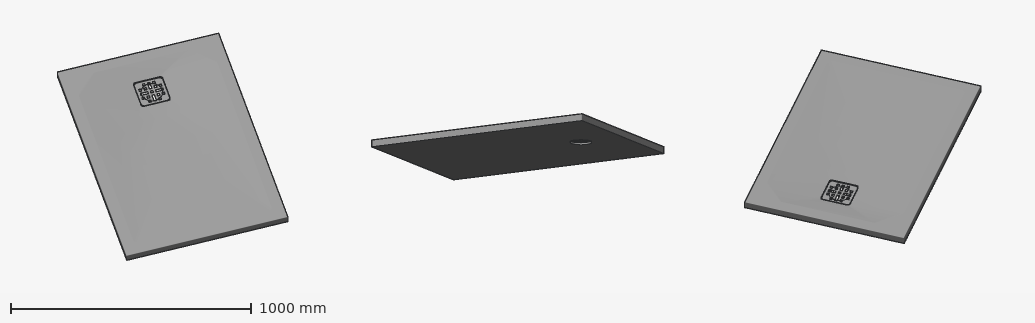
import cadquery as cq

LENGTH = 1000.0
WIDTH = 700.0
HEIGHT = 30.0
EDGE_RADIUS = 2.0
RIM_WIDTH = 50.0
DRAIN_END_RADIUS = 100.0
FAR_END_RADIUS = 15.0

GUIDES_PER_EDGE = 4
STEPS_PER_GUIDE = 3

DRAIN_X = -300.0
RECESS_SIDE = 126.0
RECESS_RADIUS = 10.0
RECESS_TOP_Z = 15.0
DRAIN_DIAMETER = 90.0
FUNNEL_DIAMETER = 120.0
FUNNEL_DEPTH = 2.0

GRATE_GAP = 1.0
GRATE_SIDE = RECESS_SIDE - 2 * GRATE_GAP
GRATE_RADIUS = 15.0
GRATE_THICKNESS = 2.0
GRATE_TOP_Z = 13.0
SLOT_WIDTH = 10.0
SLOT_PITCH = 22.0

RECESS_FLOOR_Z = GRATE_TOP_Z - GRATE_THICKNESS


def rounded_outline(x_min, x_max, half_width, left_radius, right_radius, z):
    """Closed wire of a rectangle, symmetric about the X axis, with a corner radius for each end."""
    arc_middle = 1 - 0.5**0.5
    left_inset = left_radius * arc_middle
    right_inset = right_radius * arc_middle
    return (
        cq.Workplane("XY", origin=(0, 0, z))
        .moveTo(x_min + left_radius, -half_width)
        .lineTo(x_max - right_radius, -half_width)
        .threePointArc((x_max - right_inset, -half_width + right_inset), (x_max, -half_width + right_radius))
        .lineTo(x_max, half_width - right_radius)
        .threePointArc((x_max - right_inset, half_width - right_inset), (x_max - right_radius, half_width))
        .lineTo(x_min + left_radius, half_width)
        .threePointArc((x_min + left_inset, half_width - left_inset), (x_min, half_width - left_radius))
        .lineTo(x_min, -half_width + left_radius)
        .threePointArc((x_min + left_inset, -half_width + left_inset), (x_min + left_radius, -half_width))
        .close()
        .val()
    )


def make_basin_floor(rim_outline):
    """Smooth face that falls from the rim outline on all sides to the edge of the grate recess."""
    recess_outline = rounded_outline(
        DRAIN_X - RECESS_SIDE / 2,
        DRAIN_X + RECESS_SIDE / 2,
        RECESS_SIDE / 2,
        RECESS_RADIUS,
        RECESS_RADIUS,
        RECESS_TOP_Z,
    )
    guide_points = [(DRAIN_X, 0, RECESS_TOP_Z)]
    for rim_edge, recess_edge in zip(rim_outline.Edges(), recess_outline.Edges()):
        for edge_step in range(GUIDES_PER_EDGE):
            along_edge = (edge_step + 0.5) / GUIDES_PER_EDGE
            low_end = recess_edge.positionAt(along_edge)
            fall_line = rim_edge.positionAt(along_edge) - low_end
            for step in range(STEPS_PER_GUIDE):
                guide_points.append((low_end + fall_line * (step / STEPS_PER_GUIDE)).toTuple())
    return cq.Face.makeNSidedSurface(rim_outline.Edges(), guide_points)


def make_basin_block():
    """Tray block whose top is a flat rim around the sloping basin floor."""
    block = (
        cq.Workplane("XY")
        .box(LENGTH, WIDTH, HEIGHT, centered=(True, True, False))
        .edges("|Z or >Z")
        .fillet(EDGE_RADIUS)
    )
    rim_outline = rounded_outline(
        -LENGTH / 2 + RIM_WIDTH,
        LENGTH / 2 - RIM_WIDTH,
        WIDTH / 2 - RIM_WIDTH,
        DRAIN_END_RADIUS,
        FAR_END_RADIUS,
        HEIGHT,
    )
    basin_floor = make_basin_floor(rim_outline)
    rim = cq.Face.makeFromWires(block.faces(">Z").val().outerWire(), [basin_floor.outerWire()])
    outer_faces = block.faces("not(>Z)").vals()
    shell = cq.Shell.makeShell([*outer_faces, rim, basin_floor])
    return cq.Workplane(cq.Solid.makeSolid(shell).fix())


def square_plate(side, radius, bottom_z, thickness):
    """Square plate with rounded corners, centred on the drain."""
    return (
        cq.Workplane("XY", origin=(DRAIN_X, 0, bottom_z))
        .rect(side, side)
        .extrude(thickness)
        .edges("|Z")
        .fillet(radius)
    )


def make_drain():
    """Shallow funnel in the recess floor that leads into a round hole through the tray."""
    hole = cq.Workplane("XY", origin=(DRAIN_X, 0, 0)).circle(DRAIN_DIAMETER / 2).extrude(RECESS_FLOOR_Z)
    funnel = cq.Workplane(
        cq.Solid.makeCone(
            DRAIN_DIAMETER / 2,
            FUNNEL_DIAMETER / 2,
            FUNNEL_DEPTH,
            cq.Vector(DRAIN_X, 0, RECESS_FLOOR_Z - FUNNEL_DEPTH),
        )
    )
    return hole.union(funnel)


def make_tray():
    """Tray with its sloping basin, the recess for the grate and the drain."""
    recess = square_plate(RECESS_SIDE, RECESS_RADIUS, RECESS_FLOOR_Z, HEIGHT - RECESS_FLOOR_Z)
    return make_basin_block().cut(recess).cut(make_drain())


def make_grate():
    """Square grate with a cross of four slots among small square holes."""
    plate = square_plate(GRATE_SIDE, GRATE_RADIUS, RECESS_FLOOR_Z, GRATE_THICKNESS)
    near = SLOT_PITCH
    far = 2 * SLOT_PITCH
    square_centres = [(0, 0)]
    for sign_x in (-1, 1):
        for sign_y in (-1, 1):
            for x, y in ((near, near), (near, far), (far, near)):
                square_centres.append((sign_x * x, sign_y * y))

    slot_length = SLOT_PITCH + SLOT_WIDTH
    slot_offset = (near + far) / 2
    underside = cq.Workplane("XY", origin=(DRAIN_X, 0, RECESS_FLOOR_Z))
    squares = underside.pushPoints(square_centres).rect(SLOT_WIDTH, SLOT_WIDTH).extrude(GRATE_THICKNESS)
    x_slots = (
        underside.pushPoints([(-slot_offset, 0), (slot_offset, 0)])
        .rect(slot_length, SLOT_WIDTH)
        .extrude(GRATE_THICKNESS)
    )
    y_slots = (
        underside.pushPoints([(0, -slot_offset), (0, slot_offset)])
        .rect(SLOT_WIDTH, slot_length)
        .extrude(GRATE_THICKNESS)
    )
    return plate.cut(squares).cut(x_slots).cut(y_slots)


tray = make_tray()
grate = make_grate()

result = cq.Compound.makeCompound([tray.val(), grate.val()])